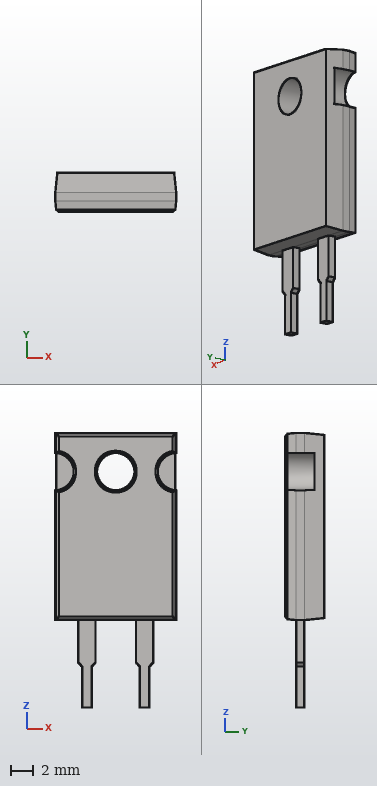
import cadquery as cq
import math


housing_width = 10.67
housing_height = 16.5
housing_depth = 3.44
back_draft_depth = 1.75
band_depth = 0.73
draft_angle = 6.0
front_chamfer_depth = 0.22
front_chamfer_inset = 0.27
front_draft_depth = housing_depth - back_draft_depth - band_depth - front_chamfer_depth

hole_diameter = 3.28
hole_below_top = 3.42
hole_chamfer = 0.2
notch_floor_thickness = 0.88
hole_z = housing_height - hole_below_top

lead_pitch = 5.08
lead_width = 1.53
lead_tip_width = 0.86
overall_height = 24.2
lead_length = overall_height - housing_height
lead_shoulder_length = 3.72
lead_taper_length = 0.36

draft_slope = math.tan(math.radians(draft_angle))
front_y = -housing_depth
band_back_y = -back_draft_depth
band_front_y = band_back_y - band_depth
chamfer_start_y = band_front_y - front_draft_depth


def housing_layer(start_y, start_inset, end_y, end_inset):
    """Slab between two Y planes, each rectangle inset from the largest outline."""
    layer = cq.Workplane("XZ", origin=(0, start_y, housing_height / 2))
    layer = layer.rect(housing_width - 2 * start_inset, housing_height - 2 * start_inset)
    layer = layer.workplane(offset=start_y - end_y)
    layer = layer.rect(housing_width - 2 * end_inset, housing_height - 2 * end_inset)
    return layer.loft(ruled=True)


def chamfered_bore(center_x, end_y):
    """Cutter for a round hole from the front to end_y, chamfered at the front."""
    bore_radius = hole_diameter / 2
    depth = end_y - front_y
    profile = (
        cq.Workplane("XY")
        .moveTo(0, 0)
        .lineTo(bore_radius + hole_chamfer, 0)
        .lineTo(bore_radius, hole_chamfer)
        .lineTo(bore_radius, depth)
        .lineTo(0, depth)
        .close()
    )
    return profile.revolve(360, (0, 0), (0, 1)).translate((center_x, front_y, hole_z))


def make_housing():
    back_inset = back_draft_depth * draft_slope
    front_inset = front_draft_depth * draft_slope
    body = housing_layer(0, back_inset, band_back_y, 0)
    body = body.union(housing_layer(band_back_y, 0, band_front_y, 0))
    body = body.union(housing_layer(band_front_y, 0, chamfer_start_y, front_inset))
    body = body.union(
        housing_layer(chamfer_start_y, front_inset, front_y, front_inset + front_chamfer_inset)
    )
    body = body.cut(chamfered_bore(0, 0))
    for side in (-1, 1):
        body = body.cut(chamfered_bore(side * housing_width / 2, -notch_floor_thickness))
    return body


def make_lead(center_x):
    half_width = lead_width / 2
    half_tip = lead_tip_width / 2
    taper_start_z = -lead_shoulder_length
    taper_end_z = taper_start_z - lead_taper_length
    outline = (
        cq.Workplane("XZ", origin=(center_x, band_back_y, 0))
        .moveTo(-half_width, 0)
        .lineTo(half_width, 0)
        .lineTo(half_width, taper_start_z)
        .lineTo(half_tip, taper_end_z)
        .lineTo(half_tip, -lead_length)
        .lineTo(-half_tip, -lead_length)
        .lineTo(-half_tip, taper_end_z)
        .lineTo(-half_width, taper_start_z)
        .close()
    )
    return outline.extrude(band_depth)


housing = make_housing()
leads = [make_lead(side * lead_pitch / 2) for side in (-1, 1)]

result = cq.Compound.makeCompound([housing.val(), *[lead.val() for lead in leads]])